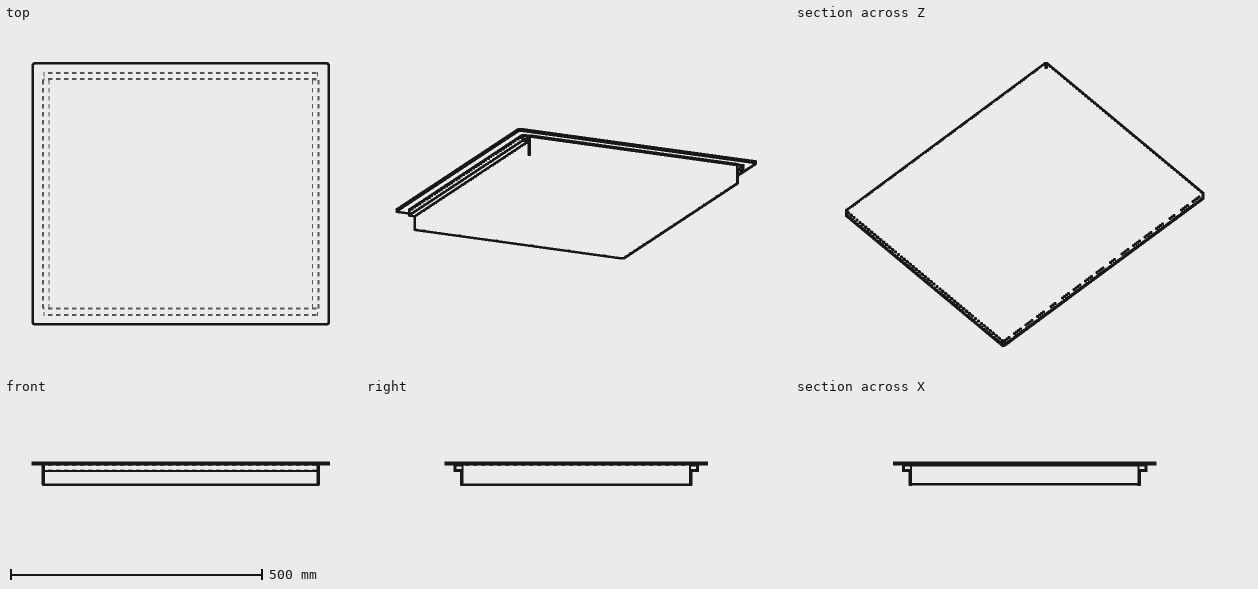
import cadquery as cq

GLASS_LENGTH = 590.0
GLASS_DEPTH = 520.0
GLASS_THICKNESS = 4.0
GLASS_CORNER_RADIUS = 5.0

SHEET = 2.0
BEND_INNER_RADIUS = 0.1
BEND_OUTER_RADIUS = BEND_INNER_RADIUS + SHEET

TOTAL_HEIGHT = 44.1
PAN_LENGTH = 550.0
PAN_DEPTH = 459.0
CORNER_SETBACK = 2.5
END_FLANGE_WIDTH = 13.0
PAN_HEIGHT = TOTAL_HEIGHT - GLASS_THICKNESS
LONG_WALL_LENGTH = PAN_LENGTH - 2 * CORNER_SETBACK
END_WALL_LENGTH = PAN_DEPTH - 2 * CORNER_SETBACK

RAIL_HEIGHT = 12.0
RAIL_OUTER_Y = 242.0
RAIL_INNER_Y = PAN_DEPTH / 2 - SHEET
RAIL_WIDTH = RAIL_OUTER_Y - RAIL_INNER_Y
RAIL_BOTTOM = PAN_HEIGHT - RAIL_HEIGHT


def block(length, depth, height, bottom):
    """Block centred on X and Y, standing on the height `bottom`."""
    return (
        cq.Workplane("XY")
        .workplane(offset=bottom)
        .box(length, depth, height, centered=(True, True, False))
    )


def bent_channel(length, width, height):
    """U-shaped sheet running along X: a floor and two walls joined by bends."""
    outside = block(length, width, height, 0).edges("|X and <Z").fillet(BEND_OUTER_RADIUS)
    inside = (
        block(length, width - 2 * SHEET, height - SHEET, SHEET)
        .edges("|X and <Z")
        .fillet(BEND_INNER_RADIUS)
    )
    return outside.cut(inside)


def make_glass():
    """Flat top plate with rounded corners, resting on the pan and the rails."""
    plate = block(GLASS_LENGTH, GLASS_DEPTH, GLASS_THICKNESS, PAN_HEIGHT)
    return plate.edges("|Z").fillet(GLASS_CORNER_RADIUS)


def make_pan():
    """Folded tray: low front and back walls, full-height end walls with inward top flanges."""
    long_walls = bent_channel(LONG_WALL_LENGTH, PAN_DEPTH, RAIL_BOTTOM)
    end_walls = bent_channel(END_WALL_LENGTH, PAN_LENGTH, PAN_HEIGHT).rotate((0, 0, 0), (0, 0, 1), 90)
    pan = long_walls.union(end_walls)
    for side in (-1, 1):
        flange = block(END_FLANGE_WIDTH, END_WALL_LENGTH, SHEET, PAN_HEIGHT - SHEET)
        pan = pan.union(flange.translate((side * (PAN_LENGTH - END_FLANGE_WIDTH) / 2, 0, 0)))
    return pan


def make_rail(side):
    """C-section rail standing on a long wall, its open side facing the pan."""
    rail = block(LONG_WALL_LENGTH, RAIL_WIDTH, RAIL_HEIGHT, RAIL_BOTTOM)
    channel = block(LONG_WALL_LENGTH, RAIL_WIDTH, RAIL_HEIGHT - 2 * SHEET, RAIL_BOTTOM + SHEET)
    rail = rail.cut(channel.translate((0, -side * SHEET, 0)))
    return rail.translate((0, side * (RAIL_INNER_Y + RAIL_OUTER_Y) / 2, 0))


glass = make_glass()
pan = make_pan()
rails = [make_rail(side) for side in (-1, 1)]

result = cq.Compound.makeCompound([glass.val(), pan.val(), *[rail.val() for rail in rails]])